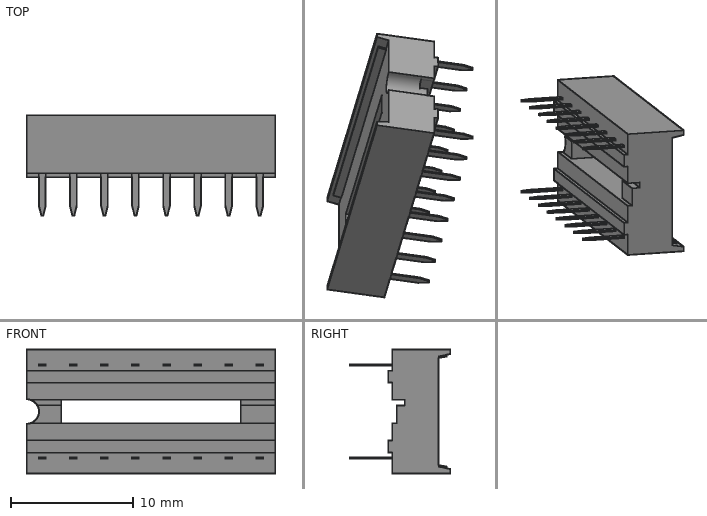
import cadquery as cq

length = 20.32
height = 10.15

recess_depth = 0.98
body_depth = 4.78
rail_depth = 5.1
pin_tip_depth = 8.25

lip_edge_thickness = 0.39
lip_root_thickness = 0.57

strip_start_depth = 0.3
strip_thickness = 0.15
strip_end_inset = 1.02

window_height = 1.9
bridge_length = 2.82
bridge_depth = 4.4
bridge_step_depth = 3.74
bridge_step_z = 0.5
notch_radius = 1.0

rail_inner_z = 2.35
rail_width = 1.0

pins_per_row = 8
pin_pitch = 2.55
row_spacing = 7.62
pin_width = 0.57
pin_thickness = 0.12
pin_tip_width = 0.2
pin_taper_start_depth = 7.42
pin_embed = 0.2


def lip_slope_z(depth):
    """Height of the upper lip's sloped face at a given depth."""
    slope = (lip_root_thickness - lip_edge_thickness) / recess_depth
    return height / 2 - lip_edge_thickness - slope * depth


def extrude_along_x(points, start, end):
    """Extrude a (depth, z) outline from X = start to X = end."""
    outline = [(-depth, z) for depth, z in points]
    return cq.Workplane("YZ", origin=(start, 0, 0)).polyline(outline).close().extrude(end - start)


def make_upper_row():
    """Upper half of the body: lip, contact block and standoff rail."""
    inner_z = window_height / 2
    rail_outer_z = rail_inner_z + rail_width
    return extrude_along_x(
        [
            (0, height / 2),
            (0, lip_slope_z(0)),
            (recess_depth, lip_slope_z(recess_depth)),
            (recess_depth, inner_z),
            (body_depth, inner_z),
            (body_depth, rail_inner_z),
            (rail_depth, rail_inner_z),
            (rail_depth, rail_outer_z),
            (body_depth, rail_outer_z),
            (body_depth, height / 2),
        ],
        0,
        length,
    )


def make_upper_strip():
    """Strip lying on the sloped face of the upper lip."""
    start_z = lip_slope_z(strip_start_depth)
    root_z = lip_slope_z(recess_depth)
    return extrude_along_x(
        [
            (strip_start_depth, start_z),
            (strip_start_depth, start_z - strip_thickness),
            (recess_depth, root_z - strip_thickness),
            (recess_depth, root_z),
        ],
        strip_end_inset,
        length - strip_end_inset,
    )


def make_bridge(start):
    """Stepped bridge joining the two rows, beginning at X = start."""
    half = window_height / 2
    return extrude_along_x(
        [
            (recess_depth, -half),
            (bridge_depth, -half),
            (bridge_depth, bridge_step_z),
            (bridge_step_depth, bridge_step_z),
            (bridge_step_depth, half),
            (recess_depth, half),
        ],
        start,
        start + bridge_length,
    )


def make_pin(x, z):
    """Flat pin with a tapered, rounded tip, centred on (x, z)."""
    half = pin_width / 2
    half_tip = pin_tip_width / 2
    taper_y = -pin_taper_start_depth
    tip_arc_y = half_tip - pin_tip_depth
    return (
        cq.Workplane("XY", origin=(x, 0, z))
        .moveTo(-half, pin_embed - body_depth)
        .lineTo(-half, taper_y)
        .lineTo(-half_tip, tip_arc_y)
        .threePointArc((0, -pin_tip_depth), (half_tip, tip_arc_y))
        .lineTo(half, taper_y)
        .lineTo(half, pin_embed - body_depth)
        .close()
        .extrude(pin_thickness / 2, both=True)
    )


upper_row = make_upper_row().union(make_upper_strip())
body = upper_row.union(upper_row.mirror("XY"))
for bridge_start in (0, length - bridge_length):
    body = body.union(make_bridge(bridge_start))

notch = cq.Workplane("XZ").circle(notch_radius).extrude(rail_depth)
body = body.cut(notch)

first_pin_x = (length - (pins_per_row - 1) * pin_pitch) / 2
for row_z in (-row_spacing / 2, row_spacing / 2):
    for index in range(pins_per_row):
        body = body.union(make_pin(first_pin_x + index * pin_pitch, row_z))

result = body